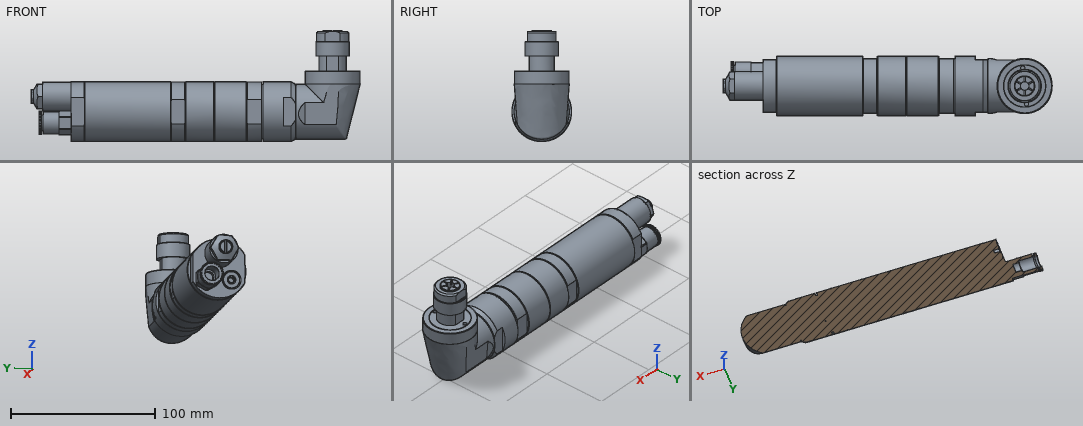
import cadquery as cq
import math

body_radius = 20.8
rear_face_x = 27.5
rear_head_end_x = 37.0
rear_ring_x = (97.0, 106.8)
seam_groove_x = 126.9
front_ring_x = (149.5, 159.7)
gap_end_x = 160.9
gap_radius = 19.0
nose_flat_x = 174.8
nose_taper_x = 180.3
nose_end_x = 183.2
nose_end_radius = 19.2
edge_chamfer = 0.5
seam_depth = 0.2
head_half_width = 18.3
ring_half_width = 19.0

head_radius = 19.2
overall_length = 228.2
head_axis_x = overall_length - head_radius
head_neck_radius = 18.3
head_neck_length = 0.5
collar_bottom_z = head_radius
collar_diameter = 38.0
collar_top_z = 28.3
collar_chamfer = 0.5
back_slope_deg = 14.1
back_half_width = 19.6
back_edge_fillet = 1.4
cheek_tilt_deg = 4.6
cheek_start_x = 185.5
cheek_flat_x = 189.9
cover_seam_diameter = 29.2
cover_seam_width = 0.2
pin_hole_diameter = 3.0
pin_hole_radius = 12.5
pin_hole_angle = 96
pin_hole_depth = 2.3

spindle_diameter = 19.2
spindle_flats = 17.3
nut_diameter = 23.3
nut_bottom_z = 38.5
nut_step_z = 48.8
nut_top_z = 55.7
nut_top_diameter = 22.5
nut_flats = 20.0
nut_chamfer = 1.1
nut_step_chamfer = 0.5
collet_top_z = 56.4
collet_diameter = 13.2
collet_seat_diameter = 14.1
collet_seat_depth = 0.7
collet_bore = 6.0
collet_bore_depth = 18.3
collet_slot_width = 1.0
collet_slot_depth = 2.3
collet_slots = 6
collet_slot_start_angle = 30

gland_z = 10.5
gland_diameter = 20.0
gland_hex_flats = 17.1
gland_hex_x = 3.9
gland_body_x = 8.0
gland_nose_x = 1.5
gland_tip_diameter = 9.5
gland_recess_diameter = 8.0
gland_recess_depth = 1.1
gland_blade_width = 1.4

hose_y = 9.0
hose_z = -7.8
grip_x = (5.2, 7.0)
grip_diameter = 16.2
hose_neck_diameter = 11.2
sleeve_x = (8.2, 19.5)
sleeve_diameter = 15.5
hose_hex_flats = 14.8
hose_hex_diameter = 16.7
hose_bore = 10.0
hose_bore_depth = 13.7
hose_inner_bore = 7.5
hose_inner_depth = 4.5
grip_notches = 24
grip_notch_size = 1.0

port_y = -9.0
port_z = -7.8
port_diameter = 13.2
port_core_diameter = 11.5
port_recess_depth = 0.5
port_mouth = 6.0
port_bore = 4.0
port_bore_depth = 4.5


def rod_x(diameter, x_start, x_end, y=0, z=0):
    """Round rod parallel to X."""
    return cq.Workplane("YZ", origin=(x_start, y, z)).circle(diameter / 2).extrude(x_end - x_start)


def rod_z(diameter, z_start, z_end, x=head_axis_x, y=0):
    """Round rod parallel to Z, on the spindle axis unless placed elsewhere."""
    return cq.Workplane("XY", origin=(x, y, z_start)).circle(diameter / 2).extrude(z_end - z_start)


def block(x_range, y_range, z_range):
    """Box between the given limits."""
    spans = (x_range, y_range, z_range)
    sizes = [end - start for start, end in spans]
    return cq.Workplane("XY").box(*sizes, centered=False).translate([start for start, _ in spans])


def hex_x(across_flats, x_start, x_end, y, z, turn):
    """Hexagonal bar parallel to X, turned about its own axis."""
    across_corners = across_flats / math.cos(math.pi / 6)
    bar = cq.Workplane("YZ").polygon(6, across_corners).extrude(x_end - x_start)
    return bar.rotate((0, 0, 0), (1, 0, 0), turn).translate((x_start, y, z))


def side_flats(x_start, x_end, half_width):
    """Pair of cutters leaving two flats at Y = +-half_width."""
    outside = 2 * body_radius
    near = block((x_start, x_end), (-outside, -half_width), (-outside, outside))
    return near.union(near.mirror("XZ"))


def edge_groove(profile, x, width, radius):
    """Extend a profile along the body through a V groove centred at x."""
    return (profile.lineTo(x - width, body_radius)
            .lineTo(x, radius)
            .lineTo(x + width, body_radius))


def make_body():
    profile = cq.Workplane("XY").moveTo(rear_face_x, 0).lineTo(rear_face_x, body_radius)
    for x in (rear_head_end_x, *rear_ring_x):
        profile = edge_groove(profile, x, edge_chamfer, body_radius - edge_chamfer)
    profile = edge_groove(profile, seam_groove_x, edge_chamfer, body_radius - seam_depth)
    profile = edge_groove(profile, front_ring_x[0], edge_chamfer, body_radius - edge_chamfer)
    profile = (profile.lineTo(front_ring_x[1], body_radius)
               .lineTo(front_ring_x[1], gap_radius)
               .lineTo(gap_end_x, gap_radius)
               .lineTo(gap_end_x, body_radius)
               .lineTo(nose_taper_x, body_radius)
               .lineTo(nose_end_x, nose_end_radius)
               .lineTo(nose_end_x, 0)
               .close())
    body = profile.revolve(360, (0, 0, 0), (1, 0, 0))
    body = body.cut(side_flats(rear_face_x, rear_head_end_x, head_half_width))
    body = body.cut(side_flats(*rear_ring_x, ring_half_width))
    body = body.cut(side_flats(*front_ring_x, ring_half_width))
    return body.cut(side_flats(nose_flat_x, nose_end_x, head_half_width))


def cheek_cutter():
    """Cutter for the -Y cheek of the head: a tilted flat with a slanted run-in."""
    flat_depth = collar_bottom_z * math.tan(math.radians(cheek_tilt_deg))
    reach = 2 * head_radius
    run_in_slope = flat_depth / (cheek_flat_x - cheek_start_x)
    run_in_end_x = cheek_flat_x - (reach - head_radius) / run_in_slope
    outline = (cq.Workplane("XY")
               .moveTo(cheek_flat_x, -head_radius)
               .lineTo(run_in_end_x, -reach)
               .lineTo(head_axis_x + head_radius, -reach)
               .lineTo(head_axis_x + head_radius, -head_radius)
               .close())
    cutter = outline.extrude(-2 * reach)
    pivot = (0, -head_radius, 0)
    tilted = cutter.rotate(pivot, (1, -head_radius, 0), cheek_tilt_deg)
    return tilted.translate((0, 0, collar_bottom_z))


def make_head():
    """Mitred elbow with a sloping round back, topped by the collar."""
    head_start_x = nose_end_x + head_neck_length
    barrel = rod_x(2 * head_radius, head_start_x, head_axis_x + 2 * head_radius)
    riser = rod_z(2 * head_radius, 0, collar_bottom_z)

    lean = math.tan(math.radians(back_slope_deg))
    rise = collar_top_z - collar_bottom_z
    drop = collar_top_z + 2 * head_radius
    slope = cq.Vector(-drop * lean, 0, -drop)
    envelope_length = 2 * (head_axis_x - head_start_x)
    envelope_x = head_axis_x + rise * lean
    envelope_outline = (cq.Workplane("XY", origin=(envelope_x, 0, collar_top_z))
                        .moveTo(0, back_half_width)
                        .threePointArc((head_radius, 0), (0, -back_half_width))
                        .lineTo(-envelope_length, -back_half_width)
                        .lineTo(-envelope_length, back_half_width)
                        .close())
    envelope = cq.Workplane(cq.Solid.extrudeLinear(envelope_outline.val(), [], slope))
    head = barrel.intersect(envelope).union(riser.intersect(envelope))

    cheek = cheek_cutter()
    head = head.cut(cheek).cut(cheek.mirror("XZ"))
    lower_back = cq.selectors.BoxSelector((head_axis_x, -head_radius, -2 * head_radius),
                                          (overall_length, head_radius, -head_radius / 2))
    head = head.edges(lower_back).fillet(back_edge_fillet)

    collar = rod_z(collar_diameter, collar_bottom_z, collar_top_z).faces(">Z").chamfer(collar_chamfer)
    seam_floor = collar_top_z - cover_seam_width
    seam = rod_z(cover_seam_diameter + cover_seam_width, seam_floor, collar_top_z)
    collar = collar.cut(seam.cut(rod_z(cover_seam_diameter - cover_seam_width, seam_floor, collar_top_z)))
    for angle in (pin_hole_angle, pin_hole_angle + 180):
        x = head_axis_x + pin_hole_radius * math.cos(math.radians(angle))
        y = pin_hole_radius * math.sin(math.radians(angle))
        collar = collar.cut(rod_z(pin_hole_diameter, collar_top_z - pin_hole_depth, collar_top_z, x, y))

    neck = rod_x(2 * head_neck_radius, nose_end_x, head_start_x)
    return head.union(collar).union(neck)


def keep_between_flats(solid, across_flats):
    """Mill two flats facing -Y and +Y on a round of the spindle."""
    bounds = solid.val().BoundingBox()
    return solid.intersect(block((bounds.xmin, bounds.xmax),
                                 (-across_flats / 2, across_flats / 2),
                                 (bounds.zmin, bounds.zmax)))


def make_spindle():
    shaft = keep_between_flats(rod_z(spindle_diameter, collar_top_z, nut_bottom_z), spindle_flats)
    nut = rod_z(nut_diameter, nut_bottom_z, nut_step_z).faces(">Z").chamfer(nut_step_chamfer)
    nut_top = rod_z(nut_top_diameter, nut_step_z, nut_top_z).faces(">Z").chamfer(nut_chamfer)
    nut_top = keep_between_flats(nut_top, nut_flats)
    seat_z = nut_top_z - collet_seat_depth
    nut_top = nut_top.cut(rod_z(collet_seat_diameter, seat_z, nut_top_z))
    collet = rod_z(collet_diameter, seat_z, collet_top_z)
    spindle = shaft.union(nut).union(nut_top).union(collet)

    spindle = spindle.cut(rod_z(collet_bore, collet_top_z - collet_bore_depth, collet_top_z))
    for index in range(collet_slots):
        slot = block((0, collet_diameter / 2), (-collet_slot_width / 2, collet_slot_width / 2),
                     (collet_top_z - collet_slot_depth, collet_top_z))
        slot = slot.rotate((0, 0, 0), (0, 0, 1), collet_slot_start_angle + index * 360 / collet_slots)
        spindle = spindle.cut(slot.translate((head_axis_x, 0, 0)))
    return spindle


def make_gland():
    sleeve = rod_x(gland_diameter, gland_body_x, rear_face_x, z=gland_z)
    nut = hex_x(gland_hex_flats, gland_nose_x, gland_body_x, 0, gland_z, 0)
    tip_radius = gland_tip_diameter / 2
    cone_rise = (gland_hex_flats / 2 - tip_radius) / (gland_hex_x - gland_nose_x)
    cone_end_radius = tip_radius + cone_rise * (gland_body_x - gland_nose_x)
    nose = (cq.Workplane("XY")
            .moveTo(gland_nose_x, 0)
            .lineTo(gland_nose_x, tip_radius)
            .lineTo(gland_body_x, cone_end_radius)
            .lineTo(gland_body_x, 0)
            .close()
            .revolve(360, (0, 0, 0), (1, 0, 0))
            .translate((0, 0, gland_z)))
    tip = rod_x(gland_tip_diameter, 0, gland_nose_x, z=gland_z)
    recess = rod_x(gland_recess_diameter, 0, gland_recess_depth, z=gland_z)
    blade = block((0, gland_recess_depth), (-gland_blade_width / 2, gland_blade_width / 2),
                  (0, 2 * gland_z))
    return sleeve.union(nut.intersect(nose)).union(tip).cut(recess.cut(blade))


def make_hose_coupling():
    def rod(diameter, x_start, x_end):
        return rod_x(diameter, x_start, x_end, hose_y, hose_z)

    coupling = hex_x(hose_hex_flats, sleeve_x[1], rear_face_x, hose_y, hose_z, 30)
    coupling = coupling.intersect(rod(hose_hex_diameter, sleeve_x[1], rear_face_x))
    coupling = coupling.union(rod(sleeve_diameter, *sleeve_x))
    coupling = coupling.union(rod(hose_neck_diameter, grip_x[1], sleeve_x[0]))
    grip = rod(grip_diameter, *grip_x)
    for index in range(grip_notches):
        notch = block(grip_x, (-grip_notch_size / 2, grip_notch_size / 2),
                      (grip_diameter / 2 - grip_notch_size, grip_diameter))
        notch = notch.rotate((0, 0, 0), (1, 0, 0), index * 360 / grip_notches)
        grip = grip.cut(notch.translate((0, hose_y, hose_z)))
    coupling = coupling.union(grip)
    bore_end_x = grip_x[0] + hose_bore_depth
    coupling = coupling.cut(rod(hose_bore, grip_x[0], bore_end_x))
    return coupling.cut(rod(hose_inner_bore, bore_end_x, bore_end_x + hose_inner_depth))


def port_cutter():
    """Ring groove around a stepped bore in the rear face."""
    def rod(diameter, depth):
        return rod_x(diameter, rear_face_x, rear_face_x + depth, port_y, port_z)

    ring = rod(port_diameter, port_recess_depth).cut(rod(port_core_diameter, port_recess_depth))
    return ring.union(rod(port_mouth, port_recess_depth)).union(rod(port_bore, port_bore_depth))


result = make_body().cut(port_cutter())
for section in (make_head(), make_spindle(), make_gland(), make_hose_coupling()):
    result = result.union(section)